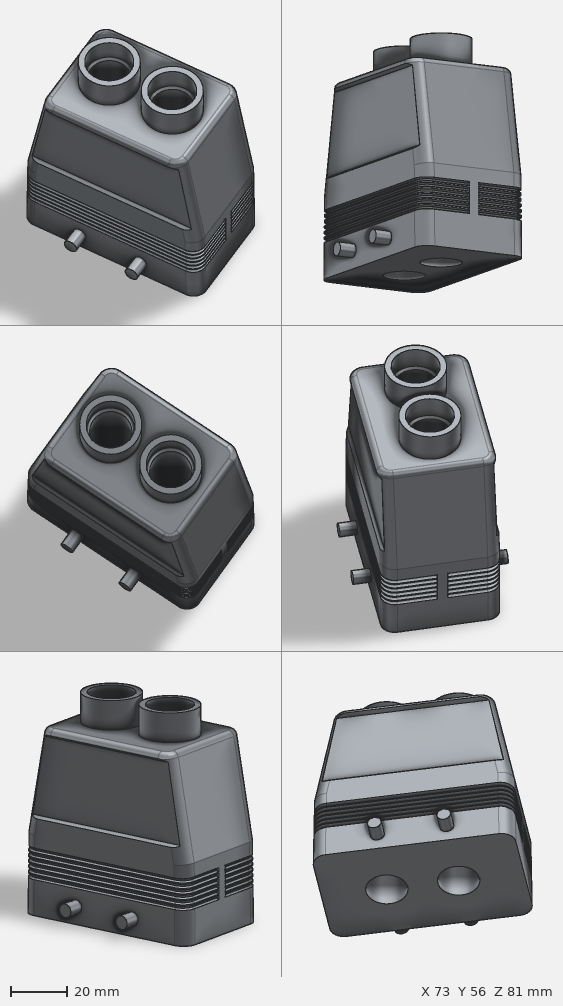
import cadquery as cq
import math

base_length = 73.0
shoulder_length = 72.1
top_length = 57.35
body_width = 43.1
shoulder_height = 30.2
body_height = 70.1
corner_radius = 5.2
top_edge_radius = 2.4

panel_depth = 1.3
panel_wall_slope = 1.0
panel_bottom = 37.0
panel_top = 66.8
panel_bottom_length = 65.3
panel_top_length = 54.9

groove_count = 6
groove_pitch = 2.0
first_groove_height = 14.1
groove_mouth = 1.5
groove_floor = 0.7
groove_depth = 1.2
groove_gap = 3.8

total_height = 81.0
entry_spacing = 25.9
entry_diameter = 22.0
entry_bore_diameter = 17.3
entry_bore_depth = 8.1
bore_cone_height = 0.6
through_hole_diameter = 15.0

pin_diameter = 5.0
pin_spacing = 25.0
pin_height = 6.65
pin_tip_span = 56.0

overlap = 0.8


def end_position(height):
    """X distance of the drafted end face from the centre, below the shoulder."""
    draft = (base_length - shoulder_length) / 2 / shoulder_height
    return base_length / 2 - draft * height


def make_body():
    profile = [
        (-base_length / 2, 0),
        (base_length / 2, 0),
        (shoulder_length / 2, shoulder_height),
        (top_length / 2, body_height),
        (-top_length / 2, body_height),
        (-shoulder_length / 2, shoulder_height),
    ]
    body = cq.Workplane("XZ").polyline(profile).close().extrude(body_width / 2, both=True)
    body = body.edges("not #Z").fillet(corner_radius)
    return body.faces(">Z").edges().fillet(top_edge_radius)


def make_panel_cutter():
    """Cutter for the panel on the -Y face, widening outwards from the panel floor."""
    floor_outline = [
        (-panel_bottom_length / 2, panel_bottom),
        (panel_bottom_length / 2, panel_bottom),
        (panel_top_length / 2, panel_top),
        (-panel_top_length / 2, panel_top),
    ]
    wall_angle = math.degrees(math.atan(panel_wall_slope / panel_depth))
    floor_plane = cq.Workplane("XZ", origin=(0, panel_depth - body_width / 2, 0))
    return floor_plane.polyline(floor_outline).close().extrude(panel_depth, taper=-wall_angle)


def make_groove_cutter(height):
    """Trapezoidal groove running around the -Y half of the base."""
    end_x = end_position(height)
    side_y = body_width / 2
    inner_x = end_x - corner_radius
    inner_y = side_y - corner_radius
    diagonal = corner_radius * math.sqrt(0.5)
    path = (
        cq.Workplane("XY", origin=(0, 0, height))
        .moveTo(-end_x, -groove_gap / 2)
        .lineTo(-end_x, -inner_y)
        .threePointArc((-inner_x - diagonal, -inner_y - diagonal), (-inner_x, -side_y))
        .lineTo(inner_x, -side_y)
        .threePointArc((inner_x + diagonal, -inner_y - diagonal), (end_x, -inner_y))
        .lineTo(end_x, -groove_gap / 2)
    )
    section = [
        (-end_x + groove_depth, height - groove_floor / 2),
        (-end_x, height - groove_mouth / 2),
        (-end_x - overlap, height - groove_mouth / 2),
        (-end_x - overlap, height + groove_mouth / 2),
        (-end_x, height + groove_mouth / 2),
        (-end_x + groove_depth, height + groove_floor / 2),
    ]
    section_plane = cq.Workplane("XZ", origin=(0, -groove_gap / 2, 0))
    return section_plane.polyline(section).close().sweep(path)


def make_entry_collar(x):
    base = cq.Workplane("XY", origin=(x, 0, body_height - overlap))
    return base.circle(entry_diameter / 2).extrude(total_height - body_height + overlap)


def make_entry_bore(x):
    """Wide bore, a short cone below it and a narrower hole down through the body."""
    cone_top = total_height - entry_bore_depth
    cone_bottom = cone_top - bore_cone_height
    hole_radius = through_hole_diameter / 2
    bore_radius = entry_bore_diameter / 2
    half_section = [
        (0, -overlap),
        (hole_radius, -overlap),
        (hole_radius, cone_bottom),
        (bore_radius, cone_top),
        (bore_radius, total_height + overlap),
        (0, total_height + overlap),
    ]
    bore = cq.Workplane("XZ").polyline(half_section).close().revolve(360, (0, 0, 0), (0, 1, 0))
    return bore.translate((x, 0, 0))


def make_pin(x):
    """Pin standing out of the -Y face."""
    tip_plane = cq.Workplane("XZ", origin=(x, overlap - body_width / 2, pin_height))
    return tip_plane.circle(pin_diameter / 2).extrude((pin_tip_span - body_width) / 2 + overlap)


result = make_body()

panel_cutter = make_panel_cutter()
result = result.cut(panel_cutter).cut(panel_cutter.mirror("XZ"))

for index in range(groove_count):
    groove = make_groove_cutter(first_groove_height + index * groove_pitch)
    result = result.cut(groove).cut(groove.mirror("XZ"))

for side in (-1, 1):
    entry_x = side * entry_spacing / 2
    result = result.union(make_entry_collar(entry_x)).cut(make_entry_bore(entry_x))

    pin = make_pin(side * pin_spacing / 2)
    result = result.union(pin).union(pin.mirror("XZ"))